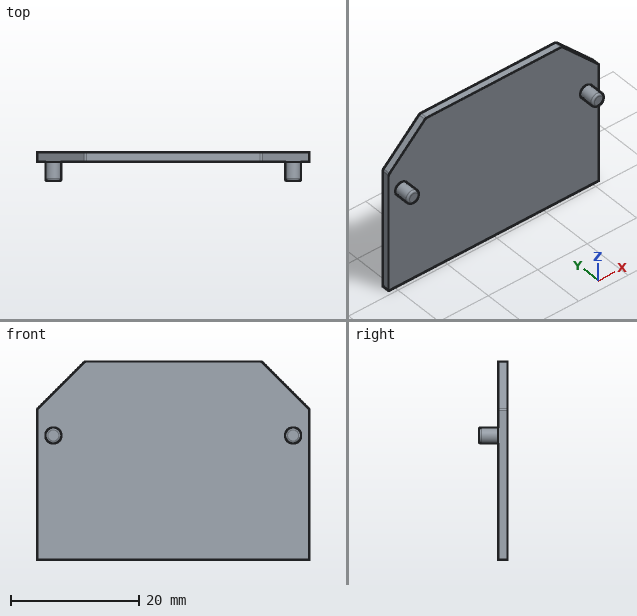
import cadquery as cq

plate_width = 42.5
plate_height = 31.0
plate_thickness = 1.5
corner_cut = 7.5
corner_radius = 0.5

total_depth = 4.5
pin_diameter = 2.5
pin_length = total_depth - plate_thickness
pin_edge_distance = 2.55
pin_height = 19.42
pin_tip_radius = 0.4

half_width = plate_width / 2
shoulder_height = plate_height - corner_cut
top_half_width = half_width - corner_cut
pin_offset = half_width - pin_edge_distance


def make_plate():
    """Plate with both upper corners cut at 45 degrees and the cut ends rounded."""
    outline = [
        (-half_width, 0),
        (half_width, 0),
        (half_width, shoulder_height),
        (top_half_width, plate_height),
        (-top_half_width, plate_height),
        (-half_width, shoulder_height),
    ]
    plate = cq.Workplane("XZ").polyline(outline).close().extrude(-plate_thickness)
    upper_edges = plate.edges("|Y").edges(cq.selectors.BoxSelector(
        (-plate_width, -plate_thickness, shoulder_height / 2),
        (plate_width, 2 * plate_thickness, 2 * plate_height),
    ))
    return upper_edges.fillet(corner_radius)


def make_pin(x):
    """Round pin pointing toward -Y with a rounded tip edge."""
    pin = cq.Workplane("XZ").center(x, pin_height).circle(pin_diameter / 2).extrude(pin_length)
    return pin.faces("<Y").fillet(pin_tip_radius)


result = make_plate()
for side in (-1, 1):
    result = result.union(make_pin(side * pin_offset))